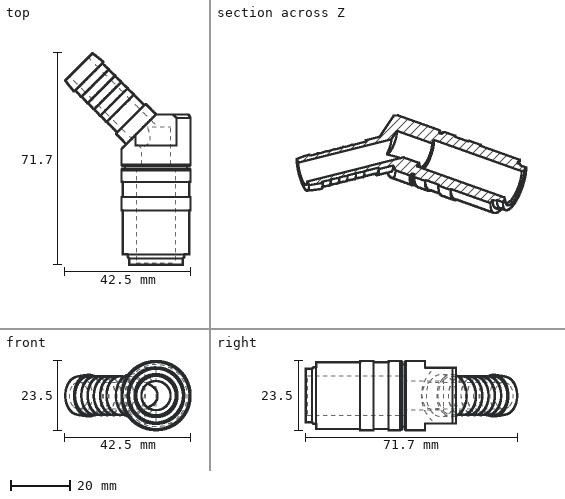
import cadquery as cq
import math

body_length = 51.0
body_radius = 11.75
sleeve_radius = 11.3
groove_radius = 10.55
lip_radius = 9.6
nose_radius = 9.1

nose_end = 2.2
lip_round_end = 3.0
lip_end = 3.6
front_band_start = 18.5
front_band_end = 23.1
rear_band_start = 28.1
rear_band_end = 32.6
head_start = 33.55

lip_bulge = 0.15
band_chamfer_width = 0.3
band_chamfer_length = 0.6
head_chamfer = 0.4
top_chamfer_width = 0.7
top_chamfer_length = 1.2

flat_height = 9.45
flat_start = 40.5

mouth_radius = 7.3
bore_radius = 6.7
mouth_chamfer = mouth_radius - bore_radius
inner_bore_radius = 4.95
bore_step = head_start
bore_floor = 46.7

bend_angle = 45
stem_axis_height = 40.9
stem_length = 29.9
stem_radius = 6.5
collar_radius = 7.2
collar_length = 5.0
stem_bore_radius = 4.5
end_barb_radius = 7.1
end_barb_start = 25.1
end_barb_bulge = 0.1
barb_radius = 6.7
barb_count = 5
barb_pitch = 3.0
barb_length = barb_pitch / 2
first_barb = 10.0

stem_offset = (body_length - stem_axis_height) / 2
bend = math.radians(bend_angle)
stem_plane = cq.Plane(
    origin=(-stem_offset, body_length - stem_offset, 0),
    xDir=(0, 0, 1),
    normal=(-math.sin(bend), math.cos(bend), 0),
)


def arc_middle(start, end, bulge):
    """Midpoint of an arc, set off to the right of the chord from start to end."""
    dx = end[0] - start[0]
    dy = end[1] - start[1]
    chord = math.hypot(dx, dy)
    return (
        (start[0] + end[0]) / 2 + bulge * dy / chord,
        (start[1] + end[1]) / 2 - bulge * dx / chord,
    )


def make_body():
    lip_corner_start = (nose_radius, nose_end)
    lip_corner_end = (lip_radius, lip_round_end)
    profile = (
        cq.Workplane("XY")
        .lineTo(nose_radius, 0)
        .lineTo(*lip_corner_start)
        .threePointArc(arc_middle(lip_corner_start, lip_corner_end, lip_bulge), lip_corner_end)
        .lineTo(lip_radius, lip_end)
        .lineTo(sleeve_radius, lip_end)
        .lineTo(sleeve_radius, front_band_start)
        .lineTo(body_radius, front_band_start)
        .lineTo(body_radius, front_band_end)
        .lineTo(sleeve_radius, front_band_end)
        .lineTo(sleeve_radius, rear_band_start)
        .lineTo(body_radius, rear_band_start)
        .lineTo(body_radius, rear_band_end - band_chamfer_length)
        .lineTo(body_radius - band_chamfer_width, rear_band_end)
        .lineTo(groove_radius, rear_band_end)
        .lineTo(groove_radius, head_start)
        .lineTo(body_radius - head_chamfer, head_start)
        .lineTo(body_radius, head_start + head_chamfer)
        .lineTo(body_radius, body_length - top_chamfer_length)
        .lineTo(body_radius - top_chamfer_width, body_length)
        .lineTo(0, body_length)
        .close()
    )
    return profile.revolve(360, (0, 0, 0), (0, 1, 0))


def trim_head(body):
    """Cut the two flats and the 45 degree face that carries the stem."""
    flat_length = body_length - flat_start
    flat_cutter = cq.Workplane("XY").box(
        2 * body_radius, flat_length, body_radius, centered=(True, False, False)
    )
    for bottom in (flat_height, -flat_height - body_radius):
        body = body.cut(flat_cutter.translate((0, flat_start, bottom)))

    corner = (
        cq.Workplane("XY", origin=(0, 0, -body_radius))
        .moveTo(0, body_length)
        .lineTo(-body_length, body_length)
        .lineTo(-body_length, 0)
        .close()
        .extrude(2 * body_radius)
    )
    return body.cut(corner)


def make_stem():
    profile = (
        cq.Workplane("XY")
        .lineTo(collar_radius, 0)
        .lineTo(collar_radius, collar_length)
        .lineTo(stem_radius, collar_length)
    )
    for i in range(barb_count):
        crest = first_barb + i * barb_pitch
        profile = (
            profile.lineTo(stem_radius, crest)
            .lineTo(barb_radius, crest)
            .lineTo(stem_radius, crest + barb_length)
        )
    barb_edge = (end_barb_radius, end_barb_start)
    tip_edge = (stem_radius, stem_length)
    profile = (
        profile.lineTo(stem_radius, end_barb_start)
        .lineTo(*barb_edge)
        .threePointArc(arc_middle(barb_edge, tip_edge, end_barb_bulge), tip_edge)
        .lineTo(0, stem_length)
        .close()
    )
    upright = profile.revolve(360, (0, 0, 0), (0, 1, 0))
    tilted = upright.rotate((0, 0, 0), (0, 0, 1), bend_angle)
    return tilted.translate(stem_plane.origin.toTuple())


def make_body_bore():
    return (
        cq.Workplane("XY")
        .lineTo(mouth_radius, 0)
        .lineTo(bore_radius, mouth_chamfer)
        .lineTo(bore_radius, bore_step)
        .lineTo(inner_bore_radius, bore_step)
        .lineTo(inner_bore_radius, bore_floor)
        .lineTo(0, bore_floor)
        .close()
        .revolve(360, (0, 0, 0), (0, 1, 0))
    )


def make_stem_bore():
    """Bore from the stem tip to the point where the two axes cross."""
    depth = stem_offset / math.sin(bend)
    return (
        cq.Workplane(stem_plane)
        .workplane(offset=-depth)
        .circle(stem_bore_radius)
        .extrude(depth + stem_length)
    )


result = trim_head(make_body()).union(make_stem()).cut(make_body_bore()).cut(make_stem_bore())